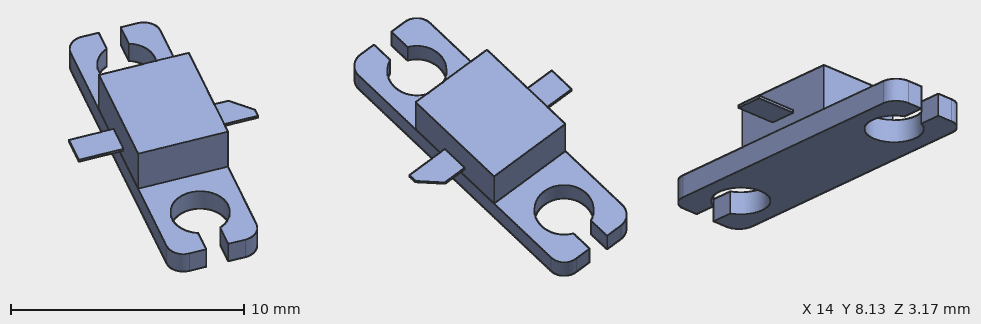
import cadquery as cq

flange_length = 13.97
flange_width = 4.08
flange_thickness = 1.06
corner_radius = 0.77

hole_diameter = 2.54
hole_offset = 4.76
slot_width = 0.99

total_height = 3.17
package_length = 5.09
package_height = total_height - flange_thickness

lead_span = 8.13
lead_width = 1.29
lead_thickness = 0.13
lead_bottom = 1.56
lead_chamfer = 0.9
lead_length = (lead_span - flange_width) / 2


def make_flange():
    """Flange bar with rounded corners and an open-ended hole at each end."""
    flange = (
        cq.Workplane("XY")
        .rect(flange_length, flange_width)
        .extrude(flange_thickness)
        .edges("|Z")
        .fillet(corner_radius)
    )
    slot_length = flange_length / 2 - hole_offset
    for side in (-1, 1):
        hole = (
            cq.Workplane("XY")
            .center(side * hole_offset, 0)
            .circle(hole_diameter / 2)
            .extrude(flange_thickness)
        )
        slot = (
            cq.Workplane("XY")
            .center(side * (hole_offset + slot_length / 2), 0)
            .rect(slot_length, slot_width)
            .extrude(flange_thickness)
        )
        flange = flange.cut(hole).cut(slot)
    return flange


def make_package():
    """Plain block seated on the flange."""
    return (
        cq.Workplane("XY", origin=(0, 0, flange_thickness))
        .rect(package_length, flange_width)
        .extrude(package_height)
    )


def make_lead(side):
    """Flat lead that butts against the package on the given Y side (-1 or 1)."""
    return (
        cq.Workplane("XY", origin=(0, side * (flange_width + lead_length) / 2, lead_bottom))
        .rect(lead_width, lead_length)
        .extrude(lead_thickness)
    )


flange = make_flange()
package = make_package()
leads = {side: make_lead(side) for side in (-1, 1)}

leads[1] = leads[1].faces("<X").edges(">Y").chamfer(lead_chamfer)

result = cq.Compound.makeCompound(
    [flange.val(), package.val(), *[lead.val() for lead in leads.values()]]
)